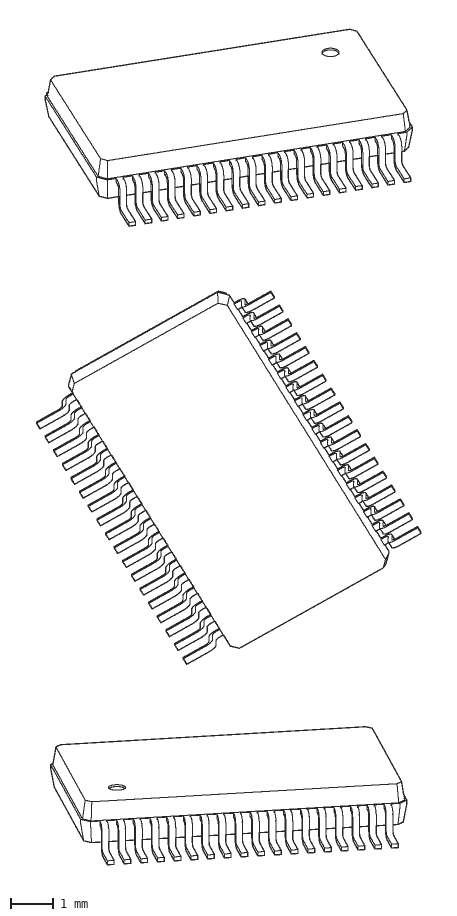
import cadquery as cq
import math

BODY_LENGTH = 7.8
BODY_WIDTH = 4.4
BODY_HEIGHT = 1.01
STANDOFF = 0.195
CORNER_CHAMFER = 0.2

UPPER_STEP = 0.05
UPPER_TAPER_INSET = 0.07
LOWER_TAPER_INSET = 0.08

LEAD_SPAN = 6.4
LEADS_PER_SIDE = 18
LEAD_ROW_LENGTH = 6.79
LEAD_WIDTH = 0.16
LEAD_THICKNESS = 0.1
LEAD_INNER_RADIUS = 0.1
LEAD_SHANK_SETBACK = 0.7
LEAD_EMBED = 0.155

DIMPLE_DIAMETER = 0.4
DIMPLE_DEPTH = 0.05
DIMPLE_X = -1.18
DIMPLE_Y = 2.885

BODY_TOP = STANDOFF + BODY_HEIGHT
BAND_BOTTOM = STANDOFF + (BODY_HEIGHT - LEAD_THICKNESS) / 2
BAND_TOP = BAND_BOTTOM + LEAD_THICKNESS
LEAD_PITCH = LEAD_ROW_LENGTH / (LEADS_PER_SIDE - 1)


def band_outline(height):
    """Full rectangular body outline with cut corners, at the given height."""
    half_width = BODY_WIDTH / 2
    half_length = BODY_LENGTH / 2
    flat_x = half_width - CORNER_CHAMFER
    flat_y = half_length - CORNER_CHAMFER
    return (
        cq.Workplane("XY", origin=(0, 0, height))
        .moveTo(-flat_x, -half_length)
        .lineTo(flat_x, -half_length)
        .lineTo(half_width, -flat_y)
        .lineTo(half_width, flat_y)
        .lineTo(flat_x, half_length)
        .lineTo(-flat_x, half_length)
        .lineTo(-half_width, flat_y)
        .lineTo(-half_width, -flat_y)
        .close()
    )


def taper_angle(inset, height):
    """Draft angle that moves a wall inward by inset over the given height."""
    return math.degrees(math.atan2(inset, height))


def make_body():
    """Parting band with the stepped upper half and the flush lower half."""
    upper_height = BODY_TOP - BAND_TOP
    lower_height = BAND_BOTTOM - STANDOFF
    band = band_outline(BAND_BOTTOM).extrude(LEAD_THICKNESS)
    upper = (
        band_outline(BAND_TOP)
        .offset2D(-UPPER_STEP)
        .extrude(upper_height, taper=taper_angle(UPPER_TAPER_INSET, upper_height))
    )
    lower = band_outline(BAND_BOTTOM).extrude(
        -lower_height, taper=taper_angle(LOWER_TAPER_INSET, lower_height)
    )
    return band.union(upper).union(lower)


def make_lead():
    """Gull-wing lead on the -X side, centred on Y = 0."""
    outer_radius = LEAD_INNER_RADIUS + LEAD_THICKNESS
    tip = -LEAD_SPAN / 2
    shank_outer = tip + LEAD_SHANK_SETBACK
    shank_inner = shank_outer + LEAD_THICKNESS
    foot_bend = shank_outer - LEAD_INNER_RADIUS
    shoulder_bend = shank_inner + LEAD_INNER_RADIUS
    root = -BODY_WIDTH / 2 + LEAD_EMBED
    profile = (
        cq.Workplane("XZ")
        .moveTo(tip, 0)
        .lineTo(foot_bend, 0)
        .radiusArc((shank_inner, outer_radius), -outer_radius)
        .lineTo(shank_inner, BAND_BOTTOM - LEAD_INNER_RADIUS)
        .radiusArc((shoulder_bend, BAND_BOTTOM), LEAD_INNER_RADIUS)
        .lineTo(root, BAND_BOTTOM)
        .lineTo(root, BAND_TOP)
        .lineTo(shoulder_bend, BAND_TOP)
        .radiusArc((shank_outer, BAND_TOP - outer_radius), -outer_radius)
        .lineTo(shank_outer, outer_radius)
        .radiusArc((foot_bend, LEAD_THICKNESS), LEAD_INNER_RADIUS)
        .lineTo(tip, LEAD_THICKNESS)
        .close()
    )
    return profile.extrude(LEAD_WIDTH / 2, both=True)


def add_leads(body):
    """Join a row of leads to each long side of the body."""
    left_lead = make_lead()
    right_lead = left_lead.mirror("YZ")
    for index in range(LEADS_PER_SIDE):
        y = index * LEAD_PITCH - LEAD_ROW_LENGTH / 2
        body = body.union(left_lead.translate((0, y, 0)))
        body = body.union(right_lead.translate((0, y, 0)))
    return body


def make_dimple():
    """Shallow round recess that marks pin 1 on the top face."""
    return (
        cq.Workplane("XY", origin=(DIMPLE_X, DIMPLE_Y, BODY_TOP))
        .circle(DIMPLE_DIAMETER / 2)
        .extrude(-DIMPLE_DEPTH)
    )


result = add_leads(make_body()).cut(make_dimple())